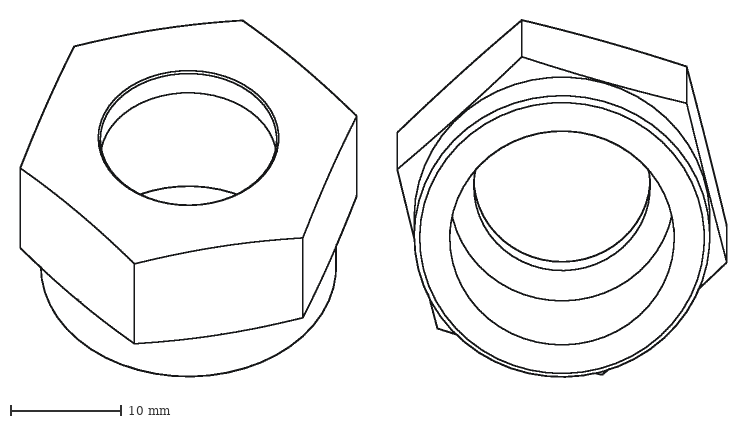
import cadquery as cq
import math

corner_diameter = 31.18
total_height = 18.0
hex_height = 12.0
collar_diameter = 26.8
collar_chamfer = 0.5
hex_chamfer_angle = 15.0
bore_diameter = 16.0
bore_chamfer = 0.2
counterbore_diameter = 20.35
neck_length = 2.8

collar_height = total_height - hex_height
across_flats = corner_diameter * math.cos(math.radians(30))
corner_radius = corner_diameter / 2
flat_radius = across_flats / 2
corner_drop = (corner_radius - flat_radius) * math.tan(math.radians(hex_chamfer_angle))
neck_bottom = total_height - neck_length
seat_height = (counterbore_diameter - bore_diameter) / 2
counterbore_depth = neck_bottom - seat_height


def make_hexagon():
    """Hexagonal head with two corners on the Y axis and conically trimmed ends."""
    prism = (
        cq.Workplane("XY", origin=(0, 0, collar_height))
        .transformed(rotate=(0, 0, 90))
        .polygon(6, corner_diameter)
        .extrude(hex_height)
    )
    trimming_profile = [
        (0, collar_height),
        (flat_radius, collar_height),
        (corner_radius, collar_height + corner_drop),
        (corner_radius, total_height - corner_drop),
        (flat_radius, total_height),
        (0, total_height),
    ]
    envelope = cq.Workplane("XZ").polyline(trimming_profile).close().revolve(360, (0, 0), (0, 1))
    return prism.intersect(envelope)


def make_collar():
    """Round collar below the hexagon with a chamfered lower rim."""
    collar = cq.Workplane("XY").circle(collar_diameter / 2).extrude(collar_height)
    return collar.faces("<Z").edges().chamfer(collar_chamfer)


def make_bore():
    """Through bore with a conical seat between the narrow neck and the wide counterbore."""
    bore_radius = bore_diameter / 2
    counterbore_radius = counterbore_diameter / 2
    bore_profile = [
        (0, 0),
        (counterbore_radius, 0),
        (counterbore_radius, counterbore_depth),
        (bore_radius, neck_bottom),
        (bore_radius, total_height - bore_chamfer),
        (bore_radius + bore_chamfer, total_height),
        (0, total_height),
    ]
    return cq.Workplane("XZ").polyline(bore_profile).close().revolve(360, (0, 0), (0, 1))


result = make_hexagon().union(make_collar()).cut(make_bore())